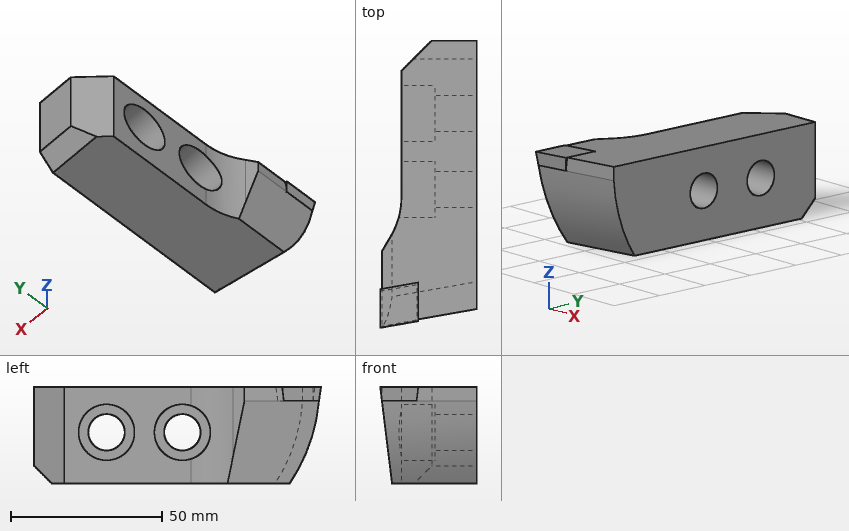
import cadquery as cq
import math



def tan_deg(angle):
    return math.tan(math.radians(angle))


total_length = 94.9
total_width = 32.0
height = 32.0

insert_side = 12.8
insert_thickness = 4.65
relief_angle = 7.0
lead_angle = 10.0
relief_inset = insert_thickness * tan_deg(relief_angle)
insert_width = insert_side * math.cos(math.radians(lead_angle))

shank_width = 25.0
back_chamfer = 10.0
neck_start = 51.8
neck_arc_length = 14.0
neck_angle = 33.5
head_start = 69.6
head_width = total_width - relief_inset
neck_radius = neck_arc_length / math.sin(math.radians(neck_angle))

bottom_chamfer = 6.0
front_arc_radius = 56.95
front_setback = 9.0

hole_diameter = 12.0
counterbore_diameter = 18.5
counterbore_depth = 11.0
hole_depth_below_top = 15.0
first_hole = 24.0
hole_pitch = 25.1
hole_count = 2

cutter_margin = 19.0


def make_insert():
    """Rhombic plate with its tip at the front left, narrowing downwards."""
    left = -total_width
    right = left + insert_width
    front_rise = insert_width * tan_deg(lead_angle)
    return (
        cq.Workplane("XY")
        .moveTo(left, -total_length)
        .lineTo(right, -total_length + front_rise)
        .lineTo(right, -total_length + front_rise + insert_side)
        .lineTo(left, -total_length + insert_side)
        .close()
        .extrude(-insert_thickness, taper=relief_angle)
    )


front_inset = relief_inset / math.cos(math.radians(lead_angle))
corner_y = -total_length + front_inset + relief_inset * tan_deg(lead_angle)


def make_blank():
    """Holder plan outline extruded over the full height."""
    neck_end_y = -neck_start - neck_arc_length
    neck_end_x = -shank_width - neck_radius * (1 - math.cos(math.radians(neck_angle)))
    return (
        cq.Workplane("XY")
        .moveTo(0, 0)
        .lineTo(back_chamfer - shank_width, 0)
        .lineTo(-shank_width, -back_chamfer)
        .lineTo(-shank_width, -neck_start)
        .radiusArc((neck_end_x, neck_end_y), neck_radius)
        .lineTo(-head_width, -head_start)
        .lineTo(-head_width, corner_y)
        .lineTo(0, corner_y + head_width * tan_deg(lead_angle))
        .close()
        .extrude(-height)
    )


def head_side_cutter():
    """Wedge that slopes the head's side inwards below the insert."""
    slope_inset = (height - insert_thickness) * tan_deg(relief_angle)
    return (
        cq.Workplane("XZ")
        .moveTo(-head_width, -insert_thickness)
        .lineTo(-head_width + slope_inset, -height)
        .lineTo(-head_width, -height)
        .close()
        .extrude(total_length)
    )


def front_cutter():
    """Curved relief below the insert, running along the slanted front edge."""
    lead = math.radians(lead_angle)
    along_edge = (math.cos(lead), math.sin(lead), 0)
    back_from_edge = (-math.sin(lead), math.cos(lead), 0)
    plane = cq.Plane(origin=(-head_width, corner_y, 0), xDir=back_from_edge, normal=along_edge)
    return (
        cq.Workplane(plane)
        .moveTo(0, -insert_thickness)
        .radiusArc((front_setback, -height), -front_arc_radius)
        .lineTo(-cutter_margin, -height)
        .lineTo(-cutter_margin, -insert_thickness)
        .close()
        .extrude(head_width + cutter_margin, both=True)
    )


def bottom_chamfer_cutter():
    """Triangular prism for the chamfer on the lower back edge."""
    return (
        cq.Workplane("YZ")
        .moveTo(0, -height)
        .lineTo(-bottom_chamfer, -height)
        .lineTo(0, -height + bottom_chamfer)
        .close()
        .extrude(-total_width)
    )


def screw_hole_cutter(y):
    """Through hole along X with its counterbore on the shank's left side."""
    plane = cq.Workplane("YZ").center(y, -hole_depth_below_top)
    hole = plane.circle(hole_diameter / 2).extrude(-total_width)
    counterbore = (
        plane.workplane(offset=counterbore_depth - shank_width)
        .circle(counterbore_diameter / 2)
        .extrude(-total_width)
    )
    return hole.union(counterbore)


def make_holder(insert):
    """Tool holder with a seat that matches the insert."""
    holder = make_blank()
    holder = holder.cut(head_side_cutter())
    holder = holder.cut(front_cutter())
    holder = holder.cut(bottom_chamfer_cutter())
    for index in range(hole_count):
        holder = holder.cut(screw_hole_cutter(-first_hole - index * hole_pitch))
    return holder.cut(insert)


insert = make_insert()
holder = make_holder(insert)

result = cq.Compound.makeCompound([holder.val(), insert.val()])